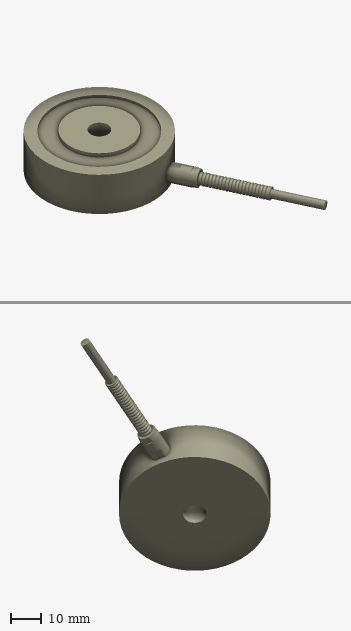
import cadquery as cq

body_diameter = 50.3
body_height = 16.0
total_height = 16.5
recess_diameter = 41.1
recess_depth = 1.2
boss_diameter = 27.2
bore_diameter = 7.9

axis_height = 5.4
gland_diameter = 7.0
gland_tip_diameter = 6.5
gland_shoulder_x = 33.3
gland_end_x = 35.5
sleeve_end_x = 60.8
overall_length = 105.2
cable_end_x = overall_length - body_diameter / 2
cable_diameter = 3.3
inner_end_x = 21.6

across_inner_flats = 5.9
inner_flat_end_x = 28.9
across_tip_flats = 6.4
tip_flat_start_x = 32.9

sleeve_diameter = 4.7
valley_diameter = 3.9
rib_count = 21
collar_start_x = 60.4


def make_body():
    """Puck with a ring-shaped recess around a raised boss and a through bore."""
    recess_floor = body_height - recess_depth
    body = cq.Workplane("XY").circle(body_diameter / 2).extrude(body_height)
    recess = (
        cq.Workplane("XY", origin=(0, 0, recess_floor))
        .circle(recess_diameter / 2)
        .extrude(recess_depth)
    )
    boss = cq.Workplane("XY").circle(boss_diameter / 2).extrude(total_height)
    bore = cq.Workplane("XY").circle(bore_diameter / 2).extrude(total_height)
    return body.cut(recess).union(boss).cut(bore)


def outlet_profile_plane():
    """Vertical workplane whose X axis is the outlet axis and whose Y is the radius."""
    return cq.Workplane("XZ", origin=(0, 0, axis_height))


def revolve_about_outlet(profile):
    """Revolve a closed half profile about the outlet axis."""
    return profile.revolve(360, (0, 0, 0), (1, 0, 0))


def outlet_section(x):
    """Workplane across the outlet axis at the given X."""
    return cq.Workplane("YZ", origin=(x, 0, axis_height))


def slab(start_x, end_x, height):
    """Slab centred on the outlet axis, wider than the gland."""
    return outlet_section(start_x).rect(2 * gland_diameter, height).extrude(end_x - start_x)


def make_gland():
    """Round gland with a tapered tip and flats at both ends."""
    half_profile = (
        outlet_profile_plane()
        .moveTo(inner_end_x, 0)
        .lineTo(inner_end_x, gland_diameter / 2)
        .lineTo(gland_shoulder_x, gland_diameter / 2)
        .lineTo(gland_end_x, gland_tip_diameter / 2)
        .lineTo(gland_end_x, 0)
        .close()
    )
    envelope = (
        slab(inner_end_x, inner_flat_end_x, across_inner_flats)
        .union(slab(inner_flat_end_x, tip_flat_start_x, 2 * gland_diameter))
        .union(slab(tip_flat_start_x, gland_end_x, across_tip_flats))
    )
    return revolve_about_outlet(half_profile).intersect(envelope)


def make_sleeve():
    """Sleeve with rounded ribs that meet in sharp valleys, ending in a short collar."""
    crest_radius = sleeve_diameter / 2
    valley_radius = valley_diameter / 2
    rib_pitch = (collar_start_x - gland_end_x) / rib_count
    profile = (
        outlet_profile_plane()
        .moveTo(gland_end_x, 0)
        .lineTo(gland_end_x, valley_radius)
    )
    for rib in range(rib_count):
        rib_x = gland_end_x + rib * rib_pitch
        crest = (rib_x + rib_pitch / 2, crest_radius)
        valley = (rib_x + rib_pitch, valley_radius)
        profile = profile.threePointArc(crest, valley)
    profile = (
        profile.lineTo(collar_start_x, crest_radius)
        .lineTo(sleeve_end_x, crest_radius)
        .lineTo(sleeve_end_x, 0)
        .close()
    )
    return revolve_about_outlet(profile)


def make_cable():
    """Bare cable running from inside the puck wall to the free end."""
    section = outlet_section(inner_end_x).circle(cable_diameter / 2)
    return section.extrude(cable_end_x - inner_end_x)


result = make_body().union(make_gland()).union(make_sleeve()).union(make_cable())